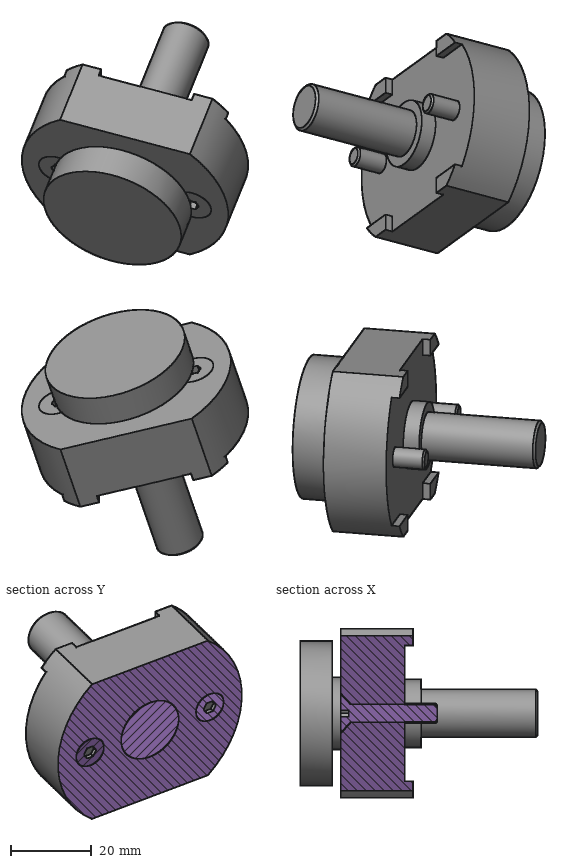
import cadquery as cq
import math

total_length = 59.0
disc_diameter = 36.0
disc_thickness = 8.0
neck_diameter = 18.0
neck_length = 2.0
journal_diameter = 17.0
journal_projection = 4.0
shaft_diameter = 12.0
shaft_chamfer = 0.6

plate_diameter = 54.0
plate_height = 42.0
plate_thickness = 16.0
pad_height = 2.0
pad_gap_width = 24.3
pad_gap_height = 33.65

screw_offset = 17.5
screw_diameter = 5.0
screw_projection = 8.0
screw_chamfer = 0.5
head_diameter = 10.0
hex_across_flats = 3.0
hex_depth = 2.0

plate_front = disc_thickness + neck_length
plate_back = plate_front + plate_thickness
journal_end = plate_back + journal_projection
screw_end = plate_back + screw_projection
head_depth = (head_diameter - screw_diameter) / 2


def section_plane(y):
    """XZ workplane at the given Y."""
    return cq.Workplane("XZ", origin=(0, y, 0))


def cylinder(diameter, start, end):
    """Cylinder on the Y axis; XZ faces -Y, so a negative length runs toward +Y."""
    return section_plane(start).circle(diameter / 2).extrude(start - end)


def make_spindle():
    disc = cylinder(disc_diameter, 0, disc_thickness)
    neck = cylinder(neck_diameter, disc_thickness, plate_front)
    journal = cylinder(journal_diameter, plate_front, journal_end)
    shaft = cylinder(shaft_diameter, journal_end, total_length).faces(">Y").chamfer(shaft_chamfer)
    return disc.union(neck).union(journal).union(shaft)


def screw_envelope():
    """Outside of a countersunk screw on the Y axis, without its hex socket."""
    shank = cylinder(screw_diameter, plate_front, screw_end).faces(">Y").chamfer(screw_chamfer)
    head = (
        section_plane(plate_front)
        .circle(head_diameter / 2)
        .workplane(offset=-head_depth)
        .circle(screw_diameter / 2)
        .loft()
    )
    return shank.union(head)


def make_screw(x):
    hex_across_corners = hex_across_flats / math.cos(math.pi / 6)
    socket = section_plane(plate_front).polygon(6, hex_across_corners).extrude(-hex_depth)
    return screw_envelope().cut(socket).translate((x, 0, 0))


def back_recess(width, height):
    """Rectangular cutter, as deep as the pads are high."""
    return section_plane(plate_back).rect(width, height).extrude(-pad_height)


def make_plate():
    pad_back = plate_back + pad_height
    plate = cylinder(plate_diameter, plate_front, pad_back)
    flats = section_plane(plate_front).rect(plate_diameter, plate_height).extrude(plate_front - pad_back)
    plate = plate.intersect(flats)

    plate = plate.cut(back_recess(plate_diameter, pad_gap_height))
    plate = plate.cut(back_recess(pad_gap_width, plate_height))

    plate = plate.cut(cylinder(journal_diameter, plate_front, plate_back))
    for x in screw_positions:
        plate = plate.cut(screw_envelope().translate((x, 0, 0)))
    return plate


screw_positions = (-screw_offset, screw_offset)

spindle = make_spindle()
plate = make_plate()
screws = [make_screw(x) for x in screw_positions]

result = cq.Compound.makeCompound([spindle.val(), plate.val(), *[screw.val() for screw in screws]])